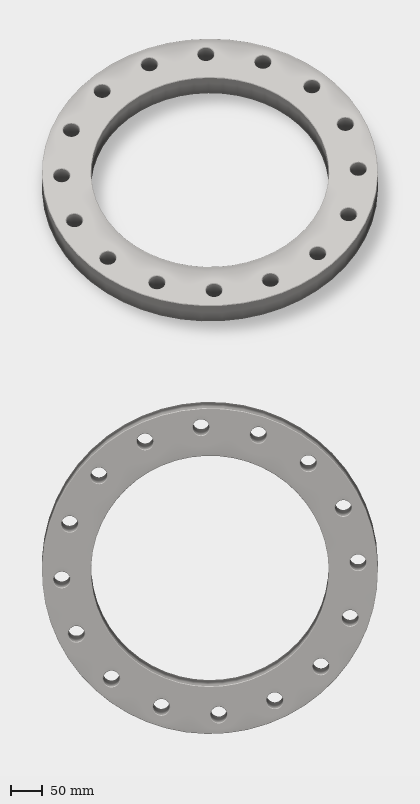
import cadquery as cq

outer_diameter = 532.0
bore_diameter = 376.0
thickness = 42.0

hole_count = 16
hole_diameter = 26.0
bolt_circle_diameter = 470.0

rim_chamfer = 1.0


def make_ring():
    """Flat ring lying on the XY plane, centred on the Z axis."""
    profile = cq.Workplane("XY").circle(outer_diameter / 2).circle(bore_diameter / 2)
    return profile.extrude(thickness)


def drill_bolt_holes(ring):
    """Drill the through holes on the bolt circle."""
    hole_centres = (
        ring.faces(">Z")
        .workplane(origin=(0, 0, thickness))
        .polarArray(bolt_circle_diameter / 2, 0, 360, hole_count, rotate=False)
    )
    return hole_centres.hole(hole_diameter)


def chamfer_rims(flange):
    """Break all circular edges of the two flat faces."""
    return flange.faces("|Z").edges().chamfer(rim_chamfer)


result = chamfer_rims(drill_bolt_holes(make_ring()))